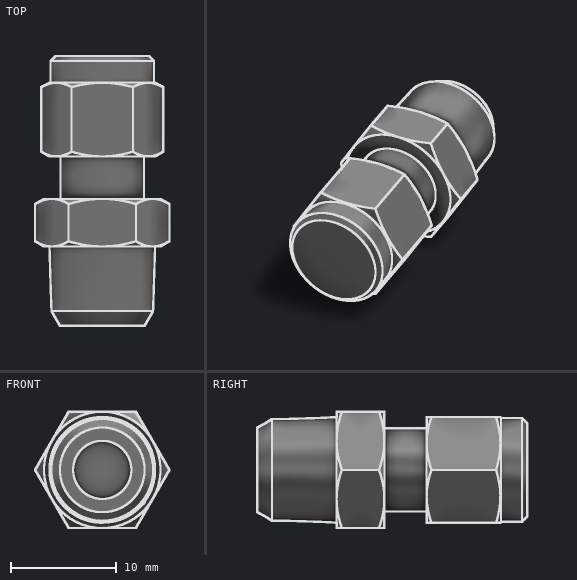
import cadquery as cq
import math


MALE_END_LENGTH = 7.5
LEAD_IN_LENGTH = 1.4
BODY_HEX_LENGTH = 4.5
NECK_LENGTH = 4.0
NUT_HEX_LENGTH = 7.0
COLLAR_LENGTH = 2.5

BODY_HEX_ACROSS_FLATS = 11.0
NUT_HEX_ACROSS_FLATS = 10.0
THREAD_ROOT_DIAMETER = 10.0
THREAD_TAPER = 1 / 16
FRONT_FACE_DIAMETER = 8.0
NECK_DIAMETER = 7.9
COLLAR_DIAMETER = 9.8
COLLAR_CHAMFER = 0.5
HEX_SIDES = 6
HEX_CHAMFER_ANGLE = 30.0

BORE_DIAMETER = 5.5
BORE_DEPTH = 1.4

COUNTERSINK_DIAMETER = 8.6
COUNTERSINK_DEPTH = 0.35

THREAD_TIP_DIAMETER = THREAD_ROOT_DIAMETER - THREAD_TAPER * (MALE_END_LENGTH - LEAD_IN_LENGTH)

BODY_HEX_START = MALE_END_LENGTH
NECK_START = BODY_HEX_START + BODY_HEX_LENGTH
NUT_START = NECK_START + NECK_LENGTH
COLLAR_START = NUT_START + NUT_HEX_LENGTH


def turned(profile):
    """Revolve a closed (radius, y) outline about the Y axis."""
    return cq.Workplane("XY").polyline(profile).close().revolve(360, (0, 0, 0), (0, 1, 0))


def cylinder(diameter, start, length):
    """Round bar along +Y, beginning at the given station."""
    radius = diameter / 2
    end = start + length
    return turned([(0, start), (radius, start), (radius, end), (0, end)])


def chamfered_hex(across_flats, start, length, back_face_diameter):
    """Hexagon with corners on +/-X, its corners turned off conically at both ends.

    The front cone starts at the across-flats circle, the back cone at the given circle.
    """
    flat_radius = across_flats / 2
    corner_radius = flat_radius / math.cos(math.pi / HEX_SIDES)
    chamfer_length = (corner_radius - flat_radius) * math.tan(math.radians(HEX_CHAMFER_ANGLE))
    end = start + length
    prism = (
        cq.Workplane("XZ", origin=(0, start, 0))
        .polygon(HEX_SIDES, 2 * corner_radius)
        .extrude(-length)
    )
    envelope = turned([
        (0, start),
        (flat_radius, start),
        (corner_radius, start + chamfer_length),
        (corner_radius, end - chamfer_length),
        (back_face_diameter / 2, end),
        (0, end),
    ])
    return prism.intersect(envelope)


def male_end():
    """Tapered thread blank with a conical lead-in at the front face."""
    return turned([
        (0, 0),
        (FRONT_FACE_DIAMETER / 2, 0),
        (THREAD_TIP_DIAMETER / 2, LEAD_IN_LENGTH),
        (THREAD_ROOT_DIAMETER / 2, MALE_END_LENGTH),
        (0, MALE_END_LENGTH),
    ])


def collar():
    """Round back of the nut with a chamfered rim."""
    return cylinder(COLLAR_DIAMETER, COLLAR_START, COLLAR_LENGTH).faces(">Y").chamfer(COLLAR_CHAMFER)


def nut_hex():
    """Nut hexagon, countersunk at its front face down to the neck diameter."""
    countersink_end = NUT_START + COUNTERSINK_DEPTH
    countersink = turned([
        (0, NUT_START),
        (COUNTERSINK_DIAMETER / 2, NUT_START),
        (NECK_DIAMETER / 2, countersink_end),
        (0, countersink_end),
    ])
    prism = chamfered_hex(NUT_HEX_ACROSS_FLATS, NUT_START, NUT_HEX_LENGTH, COLLAR_DIAMETER)
    return prism.cut(countersink)


result = (
    male_end()
    .union(chamfered_hex(BODY_HEX_ACROSS_FLATS, BODY_HEX_START, BODY_HEX_LENGTH, BODY_HEX_ACROSS_FLATS))
    .union(cylinder(NECK_DIAMETER, NECK_START, NECK_LENGTH + COUNTERSINK_DEPTH))
    .union(nut_hex())
    .union(collar())
    .cut(cylinder(BORE_DIAMETER, 0, BORE_DEPTH))
)